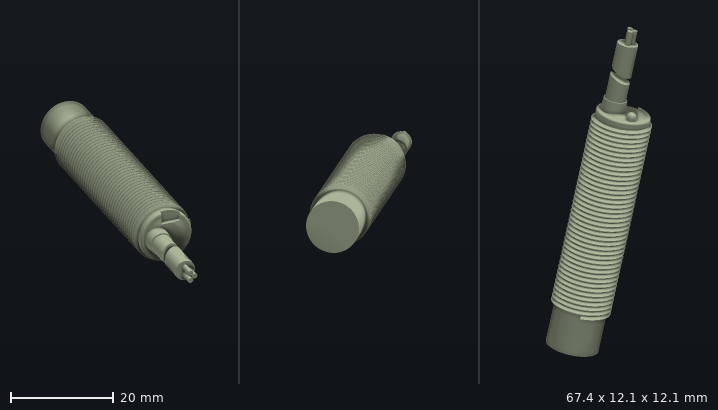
import cadquery as cq


total_length = 67.4
barrel_radius = 5.25
barrel_end = 49.0

thread_diameter = 12.05
thread_radius = thread_diameter / 2
thread_start = 8.1
thread_length = 40.3
thread_turns = 40.3
thread_pitch = thread_length / thread_turns
ridge_root_width = 0.95
ridge_crest = 0.1
ridge_embed = 0.15

collar_radius = 5.45
collar_round = 0.4
cap_end = 50.15
boss_base_radius = 4.3
boss_top_radius = 3.1
boss_end = 50.4

notch_start = 49.45
notch_low_y = -1.1
notch_high_y = 2.95
notch_floor_z = 3.0

cable_y = -2.15
grommet_base_radius = 2.55
grommet_radius = 2.35
grommet_end = 52.6

lamp_y = 1.4
lamp_z = -3.45
lamp_radius = 1.0
lamp_end = 51.75

cable_radius = 2.1
cable_end = 64.5
break_start = 56.35
break_gap = 1.35
break_slant = 1.5
break_bow = 0.2

wire_radius = 0.55
front_wire_y = -2.2
rear_wire_y = -1.35
wire_spread = 0.8
wire_centers = [(front_wire_y, wire_spread), (front_wire_y, -wire_spread), (rear_wire_y, 0)]


def rod(start, end, radius, y=0, z=0):
    """Cylinder along X."""
    return cq.Workplane("YZ", origin=(start, y, z)).circle(radius).extrude(end - start)


def cone(start, end, start_radius, end_radius, y=0):
    """Truncated cone along X."""
    solid = cq.Solid.makeCone(
        start_radius, end_radius, end - start, cq.Vector(start, y, 0), cq.Vector(1, 0, 0)
    )
    return cq.Workplane(obj=solid)


def make_thread():
    """One triangular ridge along a right-hand helix that starts on the -Z side."""
    root = barrel_radius - ridge_embed
    ridge = (
        cq.Workplane("XZ")
        .polyline(
            [
                (root, -ridge_root_width / 2),
                (thread_radius, -ridge_crest / 2),
                (thread_radius, ridge_crest / 2),
                (root, ridge_root_width / 2),
            ]
        )
        .close()
    )
    helix = cq.Wire.makeHelix(thread_pitch, thread_length, barrel_radius)
    upright = ridge.sweep(cq.Workplane(obj=helix), isFrenet=True)
    lying = upright.rotate((0, 0, 0), (0, 1, 0), 90)
    return lying.translate((thread_start, 0, 0))


def make_cap():
    collar = rod(barrel_end, cap_end, collar_radius).faces(">X").edges().fillet(collar_round)
    boss = cone(cap_end, boss_end, boss_base_radius, boss_top_radius)
    notch = cq.Workplane("XY", origin=(notch_start, notch_low_y, notch_floor_z)).box(
        boss_end - notch_start,
        notch_high_y - notch_low_y,
        collar_radius - notch_floor_z,
        centered=False,
    )
    return collar.union(boss).cut(notch)


def make_lamp():
    dome_center = lamp_end - lamp_radius
    dome = cq.Workplane("XY", origin=(dome_center, lamp_y, lamp_z)).sphere(lamp_radius)
    stem = rod(barrel_end, dome_center, lamp_radius, lamp_y, lamp_z)
    return stem.union(dome)


def make_housing():
    barrel = rod(0, barrel_end, barrel_radius)
    grommet = cone(barrel_end, grommet_end, grommet_base_radius, grommet_radius, cable_y)
    return barrel.union(make_thread()).union(make_cap()).union(grommet).union(make_lamp())


def cable_piece(start, end, break_x, keep_before):
    """Length of cable cut by the S-shaped break surface, keeping the side asked for."""
    cable = rod(start, end, cable_radius, cable_y)
    keep_limit = start if keep_before else end
    top_y = cable_y + cable_radius
    bottom_y = cable_y - cable_radius
    half_radius = cable_radius / 2
    keep_area = (
        cq.Workplane("XY", origin=(0, 0, -cable_radius))
        .moveTo(break_x, top_y)
        .spline(
            [
                (break_x + break_slant / 4 - break_bow, cable_y + half_radius),
                (break_x + break_slant * 3 / 4 - break_bow, cable_y - half_radius),
                (break_x + break_slant, bottom_y),
            ],
            includeCurrent=True,
        )
        .lineTo(keep_limit, bottom_y)
        .lineTo(keep_limit, top_y)
        .close()
        .extrude(2 * cable_radius)
    )
    return cable.intersect(keep_area)


def make_cable_stub():
    return cable_piece(grommet_end, break_start + break_slant, break_start, keep_before=True)


def make_cable_tail():
    tail_start = break_start + break_gap
    tail = cable_piece(tail_start - break_bow, cable_end, tail_start, keep_before=False)
    for y, z in wire_centers:
        tail = tail.union(rod(cable_end - wire_radius, total_length, wire_radius, y, z))
    return tail


housing = make_housing()
cable_stub = make_cable_stub()
cable_tail = make_cable_tail()

result = cq.Compound.makeCompound([housing.val(), cable_stub.val(), cable_tail.val()])